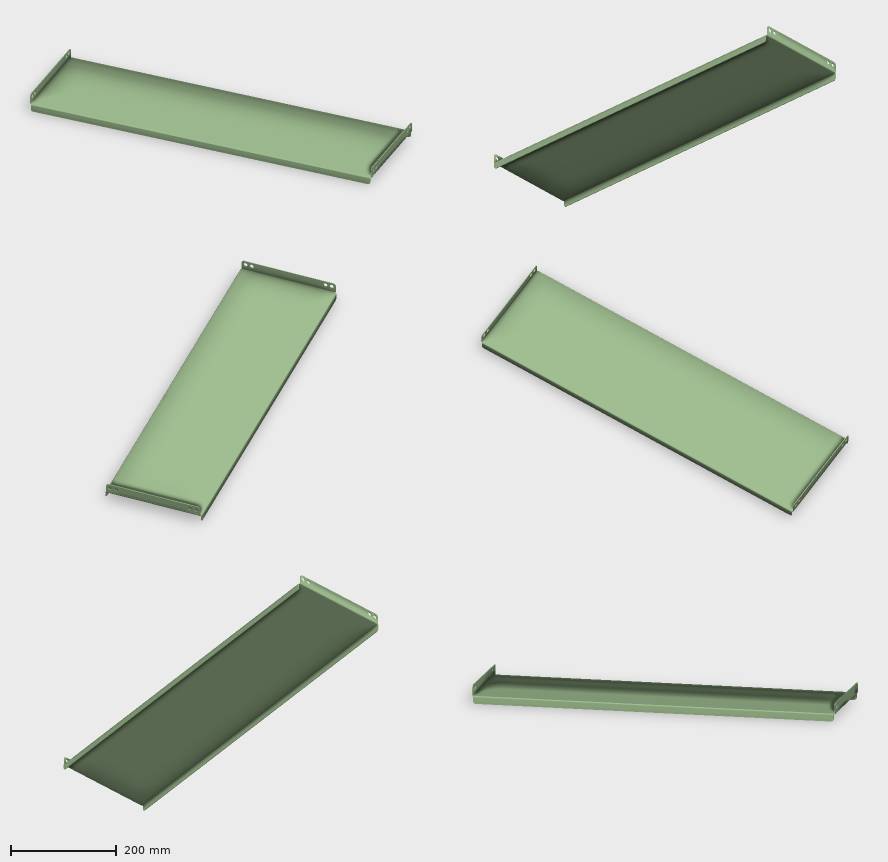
import cadquery as cq

LENGTH = 706.0
WIDTH = 196.0
HEIGHT = 35.5

SHEET = 1.5
BEND_INNER_RADIUS = 1.0
BEND_OUTER_RADIUS = BEND_INNER_RADIUS + SHEET

PANEL_TOP = 15.0
PANEL_BOTTOM = PANEL_TOP - SHEET
FLANGE_HEIGHT = HEIGHT - PANEL_BOTTOM

LIP_LENGTH = LENGTH - 2 * BEND_OUTER_RADIUS
FLANGE_WIDTH = WIDTH - 2 * BEND_OUTER_RADIUS
CORNER_RADIUS = 5.0

HOLE_DIAMETER = 7.5
HOLE_EDGE_DISTANCE = 8.0
HOLE_PITCH = 12.5
OUTER_HOLE_Y = FLANGE_WIDTH / 2 - HOLE_EDGE_DISTANCE
INNER_HOLE_Y = OUTER_HOLE_Y - HOLE_PITCH
HOLE_Z = HEIGHT - HOLE_EDGE_DISTANCE


def bent_block(plane, span, leg, length, web_z, direction, bend_radius):
    """Block standing (+1) or hanging (-1) from height web_z, with its two edges there rounded."""
    web_face = "<Z" if direction > 0 else ">Z"
    length_axis = {"XZ": "|Y", "YZ": "|X"}[plane]
    return (
        cq.Workplane(plane)
        .center(0, web_z + direction * leg / 2)
        .rect(span, leg)
        .extrude(length / 2, both=True)
        .faces(web_face)
        .edges(length_axis)
        .fillet(bend_radius)
    )


def folded_channel(plane, span, leg, length, web_z, direction):
    """U-section sheet: web with its outer face at height web_z, legs up (+1) or down (-1)."""
    outside = bent_block(plane, span, leg, length, web_z, direction, BEND_OUTER_RADIUS)
    inside = bent_block(
        plane, span - 2 * SHEET, leg, length, web_z + direction * SHEET, direction, BEND_INNER_RADIUS
    )
    return outside.cut(inside)


def end_flanges():
    """Panel with an upright flange at each X end, free corners rounded."""
    channel = folded_channel("XZ", LENGTH, FLANGE_HEIGHT, FLANGE_WIDTH, PANEL_BOTTOM, 1)
    return channel.edges("|X and >Z").fillet(CORNER_RADIUS)


def side_lips():
    """Panel with a hanging lip along each Y side, free corners rounded."""
    channel = folded_channel("YZ", WIDTH, PANEL_TOP, LIP_LENGTH, PANEL_TOP, -1)
    return channel.edges("|Y and <Z").fillet(CORNER_RADIUS)


def fixing_holes():
    """Round bars running through both flanges."""
    centres = [(side * y, HOLE_Z) for side in (-1, 1) for y in (INNER_HOLE_Y, OUTER_HOLE_Y)]
    return (
        cq.Workplane("YZ")
        .pushPoints(centres)
        .circle(HOLE_DIAMETER / 2)
        .extrude(LENGTH, both=True)
    )


result = end_flanges().union(side_lips()).cut(fixing_holes())